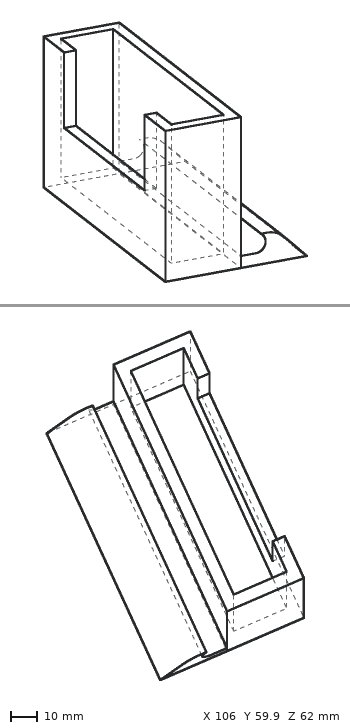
import cadquery as cq
import math

length = 106.0
box_depth = 32.0
box_height = 62.0
wall = 5.0
notch_width = 70.0
notch_depth = box_height / 2

overall_depth = 59.9
ledge_height = wall
groove_radius = 4.0
groove_axis_offset = 6.4
slope_rise = 9.5
slope_angle = math.radians(45)
crest_radius = 10.6
lip_angle = math.radians(12)


def make_box():
    """Open-topped box with a wide notch in the front wall."""
    outer = cq.Workplane("XY").box(length, box_depth, box_height, centered=(True, False, False))
    cavity = (
        cq.Workplane("XY")
        .box(
            length - 2 * wall, box_depth - 2 * wall, box_height - wall,
            centered=(True, False, False),
        )
        .translate((0, wall, wall))
    )
    notch = (
        cq.Workplane("XY")
        .box(notch_width, wall, notch_depth, centered=(True, False, False))
        .translate((0, 0, box_height - notch_depth))
    )
    return outer.cut(cavity).cut(notch)


def point_on_circle(center, radius, angle):
    """Point at an angle from vertical; positive angles lean toward the back (+Y)."""
    return (center[0] + radius * math.sin(angle), center[1] + radius * math.cos(angle))


def make_rail():
    """Rail with a sloping back, a rounded crest and a groove under its lip."""
    slope_top = (overall_depth - slope_rise / math.tan(slope_angle), slope_rise)
    crest_center = (
        slope_top[0] - crest_radius * math.sin(slope_angle),
        slope_top[1] - crest_radius * math.cos(slope_angle),
    )
    crest_middle = point_on_circle(crest_center, crest_radius, (slope_angle - lip_angle) / 2)
    lip = point_on_circle(crest_center, crest_radius, -lip_angle)

    groove_bottom = (box_depth + groove_axis_offset, ledge_height)
    groove_back = (groove_bottom[0] + groove_radius, ledge_height + groove_radius)

    return (
        cq.Workplane("YZ", origin=(-length / 2, 0, 0))
        .moveTo(box_depth, 0)
        .lineTo(overall_depth, 0)
        .lineTo(*slope_top)
        .threePointArc(crest_middle, lip)
        .threePointArc(groove_back, groove_bottom)
        .lineTo(box_depth, ledge_height)
        .close()
        .extrude(length)
    )


box = make_box()
rail = make_rail()
result = cq.Compound.makeCompound([box.val(), rail.val()])